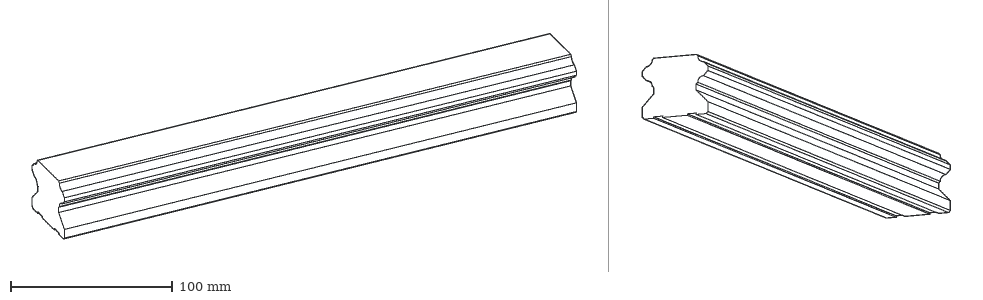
import cadquery as cq

rail_length = 355.0
rail_width = 45.0
rail_height = 38.0
half_width = rail_width / 2

foot_chamfer = 1.25
foot_side_top = 7.5
relief_inner_x = 8.5
relief_outer_x = 14.5
relief_depth = 0.9

waist_half_width = 14.5
shoulder_top = foot_side_top + half_width - waist_half_width

flank_size = 3.0
head_bottom = 24.0
head_top = 33.0
head_edge_x = half_width - flank_size

track_radius = 4.0
track_end_x = head_edge_x - track_radius
lower_track_end_z = head_bottom - track_radius
upper_track_end_z = head_top + track_radius
lower_lip = track_end_x - waist_half_width
upper_lip = rail_height - upper_track_end_z


def half_rail():
    """Extrude the +X half of the cross-section along the whole rail."""
    outline = (
        cq.Workplane("XZ", origin=(0, rail_length / 2, 0))
        .moveTo(0, 0)
        .lineTo(half_width - foot_chamfer, 0)
        .lineTo(half_width, foot_chamfer)
        .lineTo(half_width, foot_side_top)
        .lineTo(waist_half_width, shoulder_top)
        .lineTo(waist_half_width, lower_track_end_z - lower_lip)
        .lineTo(track_end_x, lower_track_end_z)
        .radiusArc((head_edge_x, head_bottom), track_radius)
        .lineTo(half_width, head_bottom + flank_size)
        .lineTo(half_width, head_top - flank_size)
        .lineTo(head_edge_x, head_top)
        .radiusArc((track_end_x, upper_track_end_z), track_radius)
        .lineTo(track_end_x - upper_lip, rail_height)
        .lineTo(0, rail_height)
        .close()
    )
    return outline.extrude(rail_length)


def relief_groove():
    """Make the cutter for the shallow groove under the +X half."""
    groove_width = relief_outer_x - relief_inner_x
    return (
        cq.Workplane("XY", origin=(relief_inner_x, 0, 0))
        .box(groove_width, rail_length, 2 * relief_depth, centered=(False, True, True))
    )


rail_side = half_rail().cut(relief_groove())
result = rail_side.union(rail_side.mirror("YZ"))